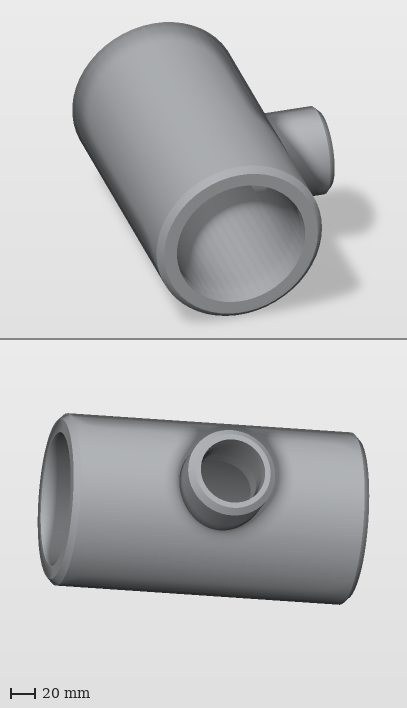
import cadquery as cq

run_length = 247.9
run_diameter = 141.3
run_wall = 15.88
run_bore = run_diameter - 2 * run_wall

branch_reach = 107.95
branch_diameter = 73.0
branch_wall = 9.53
branch_bore = branch_diameter - 2 * branch_wall

bevel = 5.0


def make_run():
    """Solid run cylinder along X with both ends bevelled."""
    cylinder = cq.Workplane("YZ").circle(run_diameter / 2).extrude(run_length / 2, both=True)
    return cylinder.faces("<X or >X").chamfer(bevel)


def branch_cylinder(diameter):
    """Solid cylinder from the run axis to the branch end."""
    return cq.Workplane("XZ").circle(diameter / 2).extrude(-branch_reach)


def make_branch():
    """Solid branch with its outer end bevelled."""
    return branch_cylinder(branch_diameter).faces(">Y").chamfer(bevel)


def make_bores():
    """Run bore right through, met by the branch bore."""
    through = cq.Workplane("YZ").circle(run_bore / 2).extrude(run_length / 2, both=True)
    return through.union(branch_cylinder(branch_bore))


result = make_run().union(make_branch()).cut(make_bores())